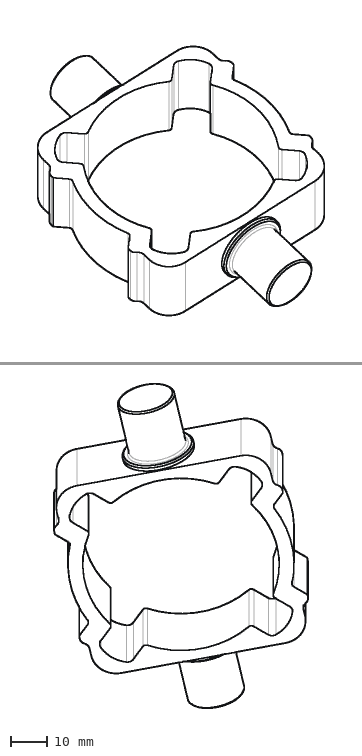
import cadquery as cq
import math

overall_length = 95.0
height = 21.0
half_width = 30.0
corner_radius = 7.0
bore_radius = 27.0
outer_arc_radius = 31.1

slot_end = 34.8
slot_half_width = 5.3
slot_end_radius = 10.0
slot_corner_radius = 2.0
slot_mouth_radius = 1.0

ridge_top = 32.0
ridge_top_end = 17.2
ridge_side = 11.1
ridge_root_radius = 1.0
s_curve_radius = 2.0

pin_diameter = 16.0
collar_diameter = 20.0
collar_face = 31.4
root_radius = 0.6
edge_chamfer = 0.5


def from_diagonal(along, across):
    """XY point given by its distance along the diagonal and across it, toward +Y."""
    return ((along - across) / math.sqrt(2), (along + across) / math.sqrt(2))


def round_corner(solid, point, radius):
    """Fillet the vertical edge of the solid at an XY point."""
    selector = cq.selectors.NearestToPointSelector((*point, 0))
    return solid.edges("|Z").edges(selector).fillet(radius)


def quarter_ring():
    """The quarter of the ring with positive X and Y, centred on Z = 0."""
    ridge_start = from_diagonal(math.sqrt(outer_arc_radius**2 - ridge_side**2), ridge_side)
    ridge_peak = (ridge_top - ridge_side * math.sqrt(2), ridge_top)
    s_curve_start = (ridge_top_end, ridge_top)
    s_curve_rise = (ridge_top - half_width) / 2
    s_curve_run = math.sqrt(s_curve_radius**2 - (s_curve_radius - s_curve_rise) ** 2)
    s_curve_middle = (ridge_top_end + s_curve_run, ridge_top - s_curve_rise)
    s_curve_end = (ridge_top_end + 2 * s_curve_run, half_width)
    corner = (half_width, half_width)
    arc_half_angle = math.atan2(ridge_start[0], ridge_start[1]) / 2
    arc_middle = (outer_arc_radius * math.sin(arc_half_angle), outer_arc_radius * math.cos(arc_half_angle))

    quarter = (
        cq.Workplane("XY")
        .workplane(offset=-height / 2)
        .lineTo(0, outer_arc_radius)
        .threePointArc(arc_middle, ridge_start)
        .lineTo(*ridge_peak)
        .lineTo(*s_curve_start)
        .tangentArcPoint(s_curve_middle, relative=False)
        .tangentArcPoint(s_curve_end, relative=False)
        .lineTo(*corner)
        .lineTo(half_width, 0)
        .close()
        .extrude(height)
    )
    quarter = round_corner(quarter, ridge_start, ridge_root_radius)
    quarter = round_corner(quarter, corner, corner_radius)

    bore = cq.Workplane("XY").cylinder(height, bore_radius)
    slot_shoulder = slot_end - slot_end_radius + math.sqrt(slot_end_radius**2 - slot_half_width**2)
    slot = (
        cq.Workplane("XY")
        .workplane(offset=-height / 2)
        .moveTo(0, -slot_half_width)
        .lineTo(slot_shoulder, -slot_half_width)
        .threePointArc((slot_end, 0), (slot_shoulder, slot_half_width))
        .lineTo(0, slot_half_width)
        .close()
        .extrude(height)
        .edges("|Z")
        .edges(">X")
        .fillet(slot_corner_radius)
        .rotate((0, 0, 0), (0, 0, 1), 45)
    )
    quarter = quarter.cut(bore).cut(slot)

    mouth = math.sqrt(bore_radius**2 - slot_half_width**2)
    for side in (-slot_half_width, slot_half_width):
        quarter = round_corner(quarter, from_diagonal(mouth, side), slot_mouth_radius)
    return quarter


def trunnion():
    """Stepped pin on the +X wall, revolved about the X axis."""
    pin_radius = pin_diameter / 2
    collar_radius = collar_diameter / 2
    pin_end = overall_length / 2
    root_middle = root_radius * (1 - math.sqrt(0.5))
    return (
        cq.Workplane("XY")
        .moveTo(half_width, 0)
        .lineTo(half_width, collar_radius)
        .lineTo(collar_face - edge_chamfer, collar_radius)
        .lineTo(collar_face, collar_radius - edge_chamfer)
        .lineTo(collar_face, pin_radius + root_radius)
        .threePointArc(
            (collar_face + root_middle, pin_radius + root_middle),
            (collar_face + root_radius, pin_radius),
        )
        .lineTo(pin_end - edge_chamfer, pin_radius)
        .lineTo(pin_end, pin_radius - edge_chamfer)
        .lineTo(pin_end, 0)
        .close()
        .revolve(360, (0, 0, 0), (1, 0, 0))
    )


quarter = quarter_ring()
right_half = quarter.union(quarter.mirror("XZ")).union(trunnion())
result = right_half.union(right_half.mirror("YZ")).clean()